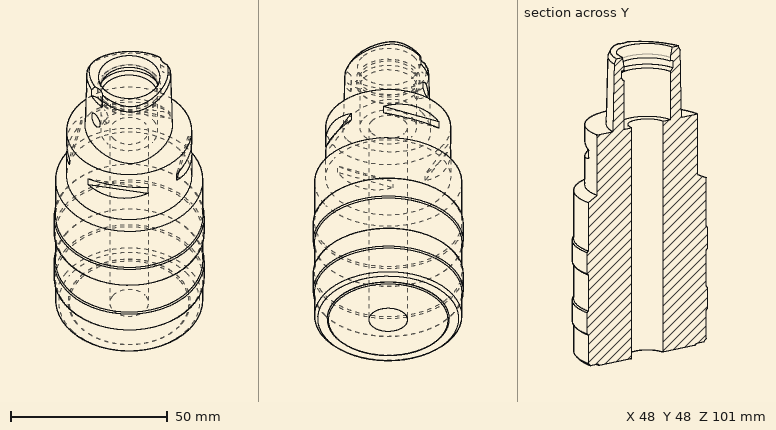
import cadquery as cq
import math

total_height = 101.0

body_radius = 23.5
body_top = 55.0
ring_radius = 48.0 / 2
ring_height = 8.1
ring_bottoms = (10.9, 30.9)
ring_chamfer = 0.5

end_chamfer = 1.0
end_boss_radius = 19.5
end_boss_height = 0.5
end_boss_chamfer = 0.4

flange_radius = 20.0
flange_cone_height = 1.8
flange_top = 77.0

grip_height = 69.0
grip_floor_distance = 17.5
grip_floor_width = 2.5
grip_flank_angle = 30.0
grip_count = 4
grip_first_angle = 45.0

shank_radius = 28.0 / 2
lobe_rise = 0.9
shank_taper = 1 / 40
outline_points = 48
tip_chamfer_height = 1.6
tip_chamfer_width = 0.8

notch_depth = 4.3
notch_radius = 4.2
notch_cut = 1.6

side_hole_radius = 2.4
side_hole_height = 88.6
side_hole_depth = 3.5

through_radius = 6.2
mouth_radius = 9.8
counterbore_radius = 9.1
counterbore_floor = flange_top
mouth_depth = 3.3
land_depth = 4.5
groove_radius = 10.1
groove_wall_depth = 7.0
groove_end_depth = groove_wall_depth + groove_radius - counterbore_radius


def cylinder(radius, bottom, top):
    return cq.Workplane("XY").workplane(offset=bottom).circle(radius).extrude(top - bottom)


def lobed_outline(mean_radius, height):
    """Closed curve of constant width whose reach from the axis is mean_radius + lobe_rise * cos(3t)."""
    points = []
    for i in range(outline_points):
        t = 2 * math.pi * i / outline_points
        reach = mean_radius + lobe_rise * math.cos(3 * t)
        drift = 3 * lobe_rise * math.sin(3 * t)
        x = -reach * math.sin(t) + drift * math.cos(t)
        y = reach * math.cos(t) + drift * math.sin(t)
        points.append(cq.Vector(x, y, height))
    return cq.Wire.assembleEdges([cq.Edge.makeSpline(points, periodic=True)])


def lobed_frustum(bottom_radius, bottom, top_radius, top):
    outlines = [lobed_outline(bottom_radius, bottom), lobed_outline(top_radius, top)]
    return cq.Workplane(cq.Solid.makeLoft(outlines, True))


def radius_at(height):
    """Mean radius of the tapered shank at a height."""
    return shank_radius - shank_taper * (height - flange_top)


def make_body():
    boss = cylinder(end_boss_radius, 0, end_boss_height).faces("<Z").chamfer(end_boss_chamfer)
    barrel = cylinder(body_radius, end_boss_height, body_top).faces("<Z").chamfer(end_chamfer)
    cone_base = cq.Vector(0, 0, body_top)
    cone = cq.Workplane(cq.Solid.makeCone(body_radius, flange_radius, flange_cone_height, cone_base))
    flange = cylinder(flange_radius, body_top, flange_top)
    body = barrel.union(boss).union(cone).union(flange)
    for bottom in ring_bottoms:
        ring = cylinder(ring_radius, bottom, bottom + ring_height).faces("<Z or >Z").chamfer(ring_chamfer)
        body = body.union(ring)
    return body


def make_grip_cutter():
    """Bar along Y with a trapezoid section that widens outward from the groove floor."""
    reach = 2 * (flange_radius - grip_floor_distance)
    floor_half = grip_floor_width / 2
    mouth_half = floor_half + reach * math.tan(math.radians(grip_flank_angle))
    return (
        cq.Workplane("XZ", origin=(grip_floor_distance, 0, grip_height))
        .polyline([(0, -floor_half), (reach, -mouth_half), (reach, mouth_half), (0, floor_half)])
        .close()
        .extrude(flange_radius, both=True)
    )


def make_shank():
    chamfer_start = total_height - tip_chamfer_height
    start_radius = radius_at(chamfer_start)
    shank = lobed_frustum(shank_radius, flange_top, start_radius, chamfer_start)
    tip = lobed_frustum(start_radius, chamfer_start, start_radius - tip_chamfer_width, total_height)
    shank = shank.union(tip)

    notch_floor = total_height - notch_depth
    for side in (1, -1):
        surface = side * radius_at(notch_floor) + lobe_rise
        center = surface + side * (notch_radius - notch_cut)
        notch = cylinder(notch_radius, notch_floor, total_height).translate((0, center, 0))
        shank = shank.cut(notch)

    hole_floor = radius_at(side_hole_height) - lobe_rise - side_hole_depth
    side_hole = (
        cq.Workplane("XZ", origin=(0, -hole_floor, side_hole_height))
        .circle(side_hole_radius)
        .extrude(shank_radius)
    )
    return shank.cut(side_hole)


def make_bore():
    profile = [
        (0, 0),
        (through_radius, 0),
        (through_radius, counterbore_floor),
        (counterbore_radius, counterbore_floor),
        (counterbore_radius, total_height - groove_end_depth),
        (groove_radius, total_height - groove_wall_depth),
        (groove_radius, total_height - land_depth),
        (counterbore_radius, total_height - land_depth),
        (counterbore_radius, total_height - mouth_depth),
        (mouth_radius, total_height),
        (0, total_height),
    ]
    return cq.Workplane("XZ").polyline(profile).close().revolve(360, (0, 0, 0), (0, 1, 0))


result = make_body()
grip_cutter = make_grip_cutter()
for i in range(grip_count):
    angle = grip_first_angle + i * 360 / grip_count
    result = result.cut(grip_cutter.rotate((0, 0, 0), (0, 0, 1), angle))
result = result.union(make_shank()).cut(make_bore())